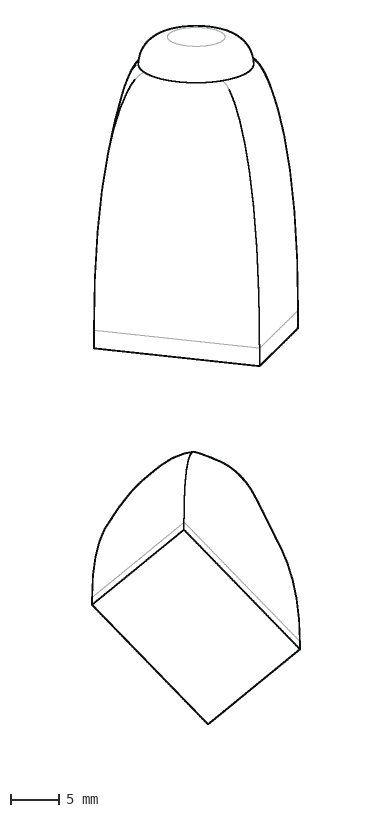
import cadquery as cq
import math

total_height = 33.0
base_length = 18.05
base_width = 12.75
base_height = 2.0

cap_radius = 5.97
cap_height = cap_radius / 2
shoulder_z = total_height - cap_height

base_pull = 21.78
shoulder_pull = 0.8
corner_pull = 0.92
row_steps = 20
column_steps = 16
surface_tolerance = 0.001
seam_tolerance = 0.01

half_length = base_length / 2
half_width = base_width / 2
corners = [
    (half_length, -half_width),
    (half_length, half_width),
    (-half_length, half_width),
    (-half_length, -half_width),
]


def bezier(t, start, start_handle, end_handle, end):
    """Value of a cubic Bezier at parameter t."""
    u = 1 - t
    return u**3 * start + 3 * u**2 * t * start_handle + 3 * u * t**2 * end_handle + t**3 * end


def body_point(t, side, along):
    """Point on one body side; t runs from base to shoulder, along from corner to corner."""
    x0, y0 = corners[side]
    x1, y1 = corners[(side + 1) % len(corners)]
    rect_x = x0 + (x1 - x0) * along
    rect_y = y0 + (y1 - y0) * along
    angle = math.radians(90 * (side + along) - 45)
    end_x = cap_radius * math.cos(angle)
    end_y = cap_radius * math.sin(angle)
    pull_x = shoulder_pull + corner_pull * math.sin(2 * angle) ** 2
    handle_x = (cap_radius + pull_x) * math.cos(angle)
    handle_y = (cap_radius + shoulder_pull) * math.sin(angle)
    return cq.Vector(
        bezier(t, rect_x, rect_x, handle_x, end_x),
        bezier(t, rect_y, rect_y, handle_y, end_y),
        bezier(t, base_height, base_height + base_pull, shoulder_z, shoulder_z),
    )


def body_side(side):
    """Smooth face through a grid of points on one body side."""
    grid = [
        [body_point(row / row_steps, side, column / column_steps) for column in range(column_steps + 1)]
        for row in range(row_steps + 1)
    ]
    return cq.Face.makeSplineApprox(grid, tol=surface_tolerance, minDeg=3, maxDeg=6)


def make_base():
    return cq.Workplane("XY").rect(base_length, base_width).extrude(base_height)


def make_body():
    sides = [body_side(side) for side in range(len(corners))]
    floor_edges = [face.edges("<Z") for face in sides]
    roof_edges = [face.edges(">Z") for face in sides]
    floor = cq.Face.makeFromWires(cq.Wire.combine(floor_edges, seam_tolerance)[0])
    roof = cq.Face.makeFromWires(cq.Wire.combine(roof_edges, seam_tolerance)[0])
    shell = cq.occ_impl.shapes.shell(sides + [floor, roof], tol=seam_tolerance)
    return cq.Workplane(cq.Solid.makeSolid(shell))


def make_cap():
    flat_radius = cap_radius - cap_height
    arc_offset = cap_height * math.sqrt(0.5)
    return (
        cq.Workplane("XZ")
        .moveTo(0, shoulder_z)
        .lineTo(cap_radius, shoulder_z)
        .threePointArc(
            (flat_radius + arc_offset, shoulder_z + arc_offset),
            (flat_radius, total_height),
        )
        .lineTo(0, total_height)
        .close()
        .revolve(360, (0, 0), (0, 1))
    )


lower_part = make_base().union(make_body(), clean=False, tol=seam_tolerance)
result = lower_part.union(make_cap(), clean=False, tol=seam_tolerance)